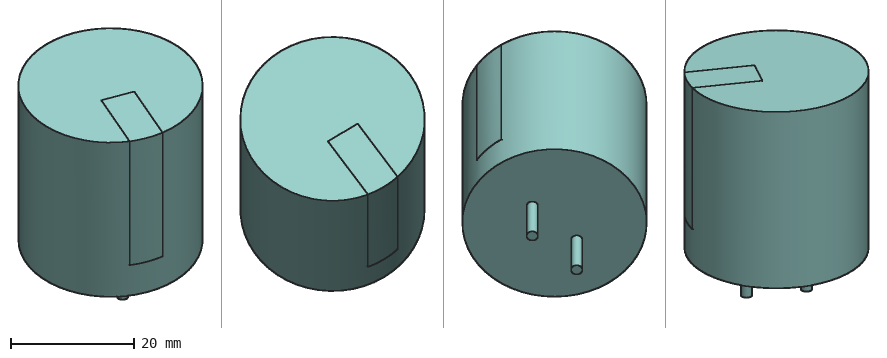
import cadquery as cq

can_diameter = 30.0
can_height = 32.0
total_height = 40.1
pin_diameter = 1.85
pin_pitch = 10.0
marker_start_x = 3.0
marker_width = 5.8
marker_depth = 25.68

can_radius = can_diameter / 2
pin_length = total_height - can_height
marker_bottom_z = can_height - marker_depth


def make_cylinder():
    """Full outer cylinder of the can, before it is split."""
    return cq.Workplane("XY").circle(can_radius).extrude(can_height)


def make_marker():
    """Polarity marker: a bar flush with the top and the curved side, towards +X."""
    bar = (
        cq.Workplane("XY", origin=(marker_start_x, 0, marker_bottom_z))
        .box(can_radius, marker_width, marker_depth, centered=(False, True, False))
    )
    return make_cylinder().intersect(bar)


def make_can(marker):
    """Can with a recess that exactly fits the marker."""
    return make_cylinder().cut(marker)


def make_pin(x):
    """Round lead that hangs from the underside of the can."""
    return cq.Workplane("XY", origin=(x, 0, 0)).circle(pin_diameter / 2).extrude(-pin_length)


marker = make_marker()
can = make_can(marker)
pins = [make_pin(side * pin_pitch / 2) for side in (-1, 1)]

bodies = [*can.solids().vals(), *marker.solids().vals(), *[pin.val() for pin in pins]]
result = cq.Compound.makeCompound(bodies)